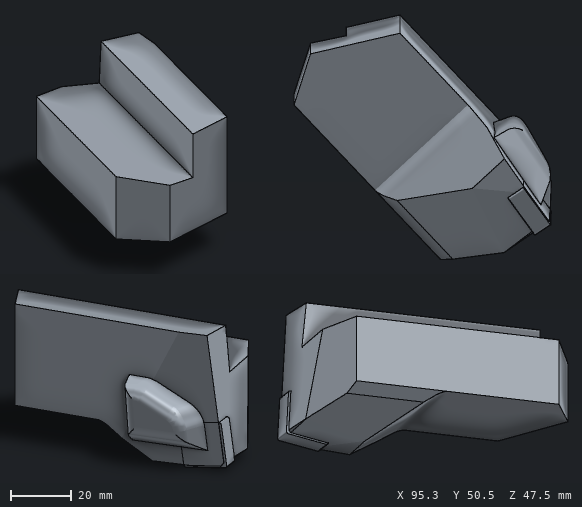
import cadquery as cq
import math

holder_end_x = 95.4
holder_top_z = 35.0
back_y = 42.3
step_y = 26.4
shelf_front_z = 22.7
shelf_back_z = 19.2

underside_chamfer = 3.5
keel_bottom_z = -11.65
keel_front_y = 25.5
keel_end_x = 27.0
keel_runout_x = 47.0
keel_ramp = (42.4, -2.0)
keel_blend_mid = (44.6, -0.75)

nose_front_x = 15.1
nose_angle = 32.5
end_tip_y = 15.8
end_front_x = 86.5
end_back_x = 80.2

flank_normal = cq.Vector(-1, -0.14, 0.1).normalized()
rake_guide = cq.Vector(-0.165, 1, -0.083)
under_normal = flank_normal.cross(rake_guide).normalized()
rake_normal = under_normal.cross(flank_normal).normalized()

flank_point = cq.Vector(6.8, step_y, holder_top_z)
rake_point = cq.Vector(4.8, 40.8, holder_top_z)
under_point = cq.Vector(keel_end_x, keel_front_y, keel_bottom_z)

bevel_start_depth = 17.5
bevel_taper = 0.045
bevel_normal = (flank_normal + under_normal).normalized() + rake_normal * bevel_taper
bevel_start = (
    flank_normal * flank_point.dot(flank_normal)
    + under_normal * under_point.dot(under_normal)
    + rake_normal * bevel_start_depth
)

insert_side = 15.875
insert_thickness = 6.35
insert_corner_radius = 0.8
insert_tip = cq.Vector(0.0, 36.0, -11.0)

clamp_root_depth = 2.0
clamp_height = 8.3
clamp_crown_radius = 4.5
clamp_nose_radius = 10.0
clamp_shoulder_radius = 8.0
clamp_nose_bottom = (4.8, 4.4)
clamp_nose_top = (4.8, 19.8)
clamp_shoulder = (22.4, 31.4)
clamp_heel_top = (32.4, 32.0)
clamp_heel_bottom = (34.0, 7.9)
clamp_chin_draft = 34.0
clamp_nose_draft = 32.0
clamp_ramp_draft = 18.0
clamp_top_draft = 11.0
clamp_heel_draft = 11.0

cutter_size = 300.0


def beyond(point, normal):
    """Large block filling the side of a plane that its normal points to."""
    plane = cq.Plane(origin=point.toTuple(), normal=normal.toTuple())
    return cq.Workplane(plane).rect(cutter_size, cutter_size).extrude(cutter_size)


def tilted_plane(origin):
    """Plane facing into the rake face: local X runs away from the flank, local Y up from the under face."""
    return cq.Plane(origin=origin.toTuple(), xDir=(-flank_normal).toTuple(), normal=(-rake_normal).toTuple())


def make_holder_block():
    section = (
        cq.Workplane("YZ")
        .moveTo(0, 0)
        .lineTo(0, shelf_front_z)
        .lineTo(step_y, shelf_back_z)
        .lineTo(step_y, holder_top_z)
        .lineTo(back_y, holder_top_z)
        .lineTo(back_y, keel_bottom_z)
        .lineTo(keel_front_y, keel_bottom_z)
        .lineTo(underside_chamfer, -underside_chamfer)
        .close()
        .extrude(holder_end_x)
    )
    plan = (
        cq.Workplane("XY", origin=(0, 0, keel_bottom_z))
        .moveTo(nose_front_x, 0)
        .lineTo(end_front_x, 0)
        .lineTo(holder_end_x, end_tip_y)
        .lineTo(end_back_x, back_y)
        .lineTo(0, back_y)
        .lineTo(0, nose_front_x / math.tan(math.radians(nose_angle)))
        .close()
        .extrude(holder_top_z - keel_bottom_z)
    )
    elevation = (
        cq.Workplane("XZ", origin=(0, back_y, 0))
        .moveTo(0, holder_top_z)
        .lineTo(0, keel_bottom_z)
        .lineTo(keel_end_x, keel_bottom_z)
        .lineTo(*keel_ramp)
        .threePointArc(keel_blend_mid, (keel_runout_x, 0))
        .lineTo(holder_end_x, 0)
        .lineTo(holder_end_x, holder_top_z)
        .close()
        .extrude(back_y)
    )
    block = section.intersect(plan).intersect(elevation)
    block = block.cut(beyond(flank_point, flank_normal))
    block = block.cut(beyond(rake_point, rake_normal))
    block = block.cut(beyond(under_point, under_normal))
    return block.cut(beyond(bevel_start, bevel_normal.normalized()))


def wall_normal(start, end, draft):
    """Outward normal of a clamp wall that stands on the plan line from start to end."""
    across = -flank_normal
    up = -under_normal
    run = across * (end[0] - start[0]) + up * (end[1] - start[1])
    outward = run.cross(rake_normal).normalized()
    lean = math.radians(draft)
    return outward * math.cos(lean) + rake_normal * math.sin(lean)


def round_crown(clamp):
    """Round the rim of the crown, or leave a wall-high block plain where no such round fits."""
    crown_face = cq.selectors.DirectionMinMaxSelector(rake_normal, True)
    rim = clamp.faces(crown_face).edges()
    for radius in (clamp_crown_radius, clamp_crown_radius - 0.5, clamp_crown_radius - 1.5):
        try:
            rounded = rim.fillet(radius)
        except Exception:
            continue
        if rounded.val().isValid():
            return rounded
    return clamp


def make_clamp():
    """Drafted clamp standing on the rake face, with a rounded crown."""
    base = tilted_plane(insert_tip - rake_normal * clamp_root_depth)
    chin = wall_normal(clamp_heel_bottom, clamp_nose_bottom, clamp_chin_draft)
    nose = wall_normal(clamp_nose_bottom, clamp_nose_top, clamp_nose_draft)
    ramp = wall_normal(clamp_nose_top, clamp_shoulder, clamp_ramp_draft)
    top = wall_normal(clamp_shoulder, clamp_heel_top, clamp_top_draft)
    heel = wall_normal(clamp_heel_top, clamp_heel_bottom, clamp_heel_draft)
    walls = (
        (clamp_heel_bottom, chin),
        (clamp_nose_bottom, nose),
        (clamp_nose_top, ramp),
        (clamp_shoulder, top),
        (clamp_heel_top, heel),
    )
    block_side = cutter_size / 2
    clamp = cq.Workplane(base).rect(block_side, block_side).extrude(-(clamp_root_depth + clamp_height))
    for corner, normal in walls:
        clamp = clamp.cut(beyond(base.toWorldCoords(corner), normal))
    nose_edge = cq.selectors.ParallelDirSelector(nose.cross(ramp))
    clamp = clamp.edges(nose_edge).fillet(clamp_nose_radius)
    shoulder_edge = cq.selectors.ParallelDirSelector(ramp.cross(top))
    clamp = clamp.edges(shoulder_edge).fillet(clamp_shoulder_radius)
    return round_crown(clamp)


def make_insert():
    return (
        cq.Workplane(tilted_plane(insert_tip))
        .rect(insert_side, insert_side, centered=False)
        .extrude(insert_thickness)
        .edges(cq.selectors.ParallelDirSelector(rake_normal))
        .fillet(insert_corner_radius)
    )


insert = make_insert()
holder = make_holder_block().union(make_clamp()).cut(insert)
result = cq.Compound.makeCompound([holder.val(), insert.val()])